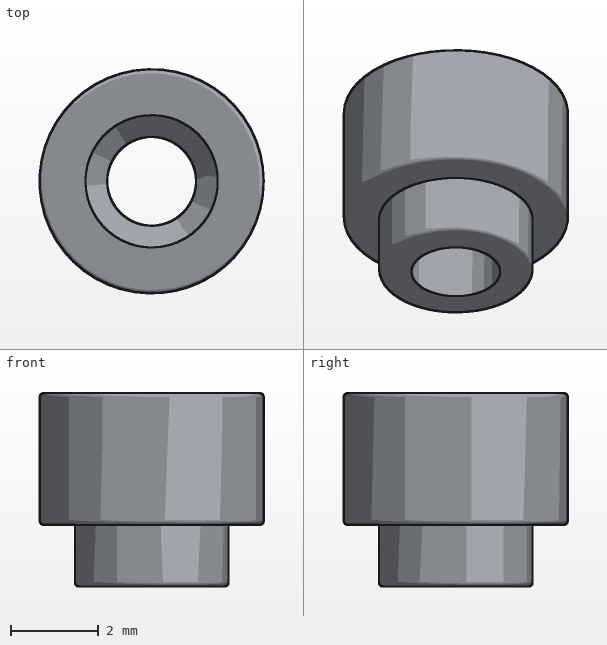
import cadquery as cq

head_diameter = 5.1
shank_diameter = 3.5
bore_diameter = 2.015
countersink_diameter = 3.01
countersink_angle = 90.0
total_height = 4.4
head_height = 3.0
edge_radius = 0.1

shank_height = total_height - head_height

shank = cq.Workplane("XY").circle(shank_diameter / 2).extrude(shank_height)
shank = shank.faces("<Z").edges().fillet(edge_radius)

head = cq.Workplane("XY").workplane(offset=shank_height).circle(head_diameter / 2).extrude(head_height)
head = head.faces("<Z or >Z").edges().fillet(edge_radius)

result = (
    head.union(shank)
    .faces(">Z")
    .workplane(centerOption="CenterOfBoundBox")
    .cskHole(bore_diameter, countersink_diameter, countersink_angle)
)